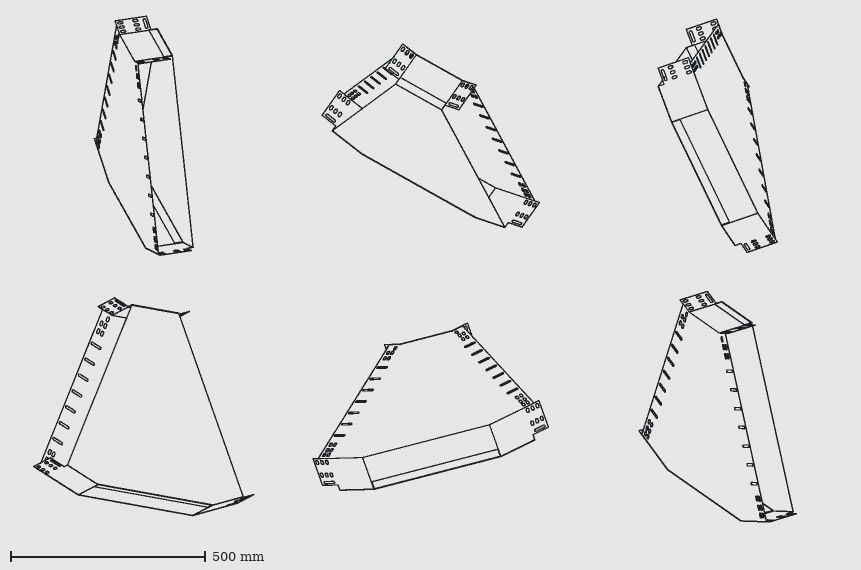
import cadquery as cq
import math

THICK = 1.0
DEPTH = 101.5
WIDTH = 608.0
HEIGHT = 519.5
SLOPE = 22.5

BOTTOM_FLAT = 341.5
TAB_LENGTH = 45.0
TAB_DEPTH = 84.5
PLATE_SETBACK = 14.5
LIP_DEPTH = 23.0
LIP_END_GAP = 2.0

SLOT_WIDTH = 6.5
LONG_SLOT = 30.5
PLATE_SHORT_SLOT = 14.0
TAB_SHORT_SLOT = 13.0

SIDE_SLOT_COUNT = 7
SIDE_SLOT_PITCH = 50.0
SIDE_SLOT_INSET = 20.5
OUTER_INSET = 11.5
INNER_INSET = 24.0
END_STEPS = (17.0, 37.5, 62.0)

TAB_HOLE_CENTRE = 22.5
TAB_HOLE_PITCH = 14.0
TAB_HOLE_ROWS = (12.0, 52.0)
TAB_LONG_SLOT_ROW = 76.0

CLEARANCE = 6.0

QUARTER_TURN = 90
ANGLE = math.radians(SLOPE)
COS, SIN, TAN = math.cos(ANGLE), math.sin(ANGLE), math.tan(ANGLE)
BEND_SHIFT = THICK * math.tan(ANGLE / 2)
WALL_DEPTH = DEPTH - THICK

LOWER_BEND = (BOTTOM_FLAT / 2, 0)
LOWER_TIP = (WIDTH / 2, (WIDTH - BOTTOM_FLAT) / 2 * TAN)
SIDE_LENGTH = (HEIGHT - LOWER_TIP[1]) / COS
SIDE_SLOT_START = (SIDE_LENGTH - (SIDE_SLOT_COUNT - 1) * SIDE_SLOT_PITCH) / 2


def side_point(inset, along):
    """Point on the right half, inset from the line of the tab tips and along it from the lower tip."""
    return (
        LOWER_TIP[0] - inset * COS - along * SIN,
        LOWER_TIP[1] - inset * SIN + along * COS,
    )


UPPER_TIP = side_point(0, SIDE_LENGTH)
UPPER_BEND = side_point(TAB_LENGTH, SIDE_LENGTH)


def mirrored(right_half):
    """Closed outline from the points of its right half."""
    return right_half + [(-x, z) for x, z in reversed(right_half)]


def sheet(outline, y_start, y_end):
    """Prism of an (x, z) outline between two positions along Y."""
    return cq.Workplane("XZ", origin=(0, y_start, 0)).polyline(outline).close().extrude(y_start - y_end)


def both_sides(shape):
    """Shape together with its mirror image across x = 0."""
    return shape.union(shape.mirror("YZ"))


def plate_slot(inset, along, length, turn):
    """Slot through the plate, placed from the right side edge of the plate."""
    x, z = side_point(PLATE_SETBACK + inset, along)
    return (
        cq.Workplane("XZ", origin=(x, 0, z))
        .transformed(rotate=(0, 0, turn))
        .slot2D(length, SLOT_WIDTH)
        .extrude(CLEARANCE, both=True)
    )


def plate_slots():
    """Long slots along both side edges, with short slots near their ends."""
    slots = cq.Workplane("XZ")
    for number in range(SIDE_SLOT_COUNT):
        along = SIDE_SLOT_START + number * SIDE_SLOT_PITCH
        slots = slots.add(plate_slot(SIDE_SLOT_INSET, along, LONG_SLOT, SLOPE))
    across = SLOPE + QUARTER_TURN
    for inset in (OUTER_INSET, INNER_INSET):
        for step in END_STEPS:
            slots = slots.add(plate_slot(inset, step, PLATE_SHORT_SLOT, across))
            if inset == INNER_INSET or step != END_STEPS[0]:
                slots = slots.add(plate_slot(inset, SIDE_LENGTH - step, PLATE_SHORT_SLOT, across))
    return both_sides(slots.combine())


def tab_slot(along, inset, y, length, turn):
    """Slot through the right tab at one end of the side, placed from the tab tip."""
    x, z = side_point(inset, along)
    wall = cq.Plane(origin=(x, y, z), xDir=(COS, 0, SIN), normal=(-SIN, 0, COS))
    return (
        cq.Workplane(wall)
        .transformed(rotate=(0, 0, turn))
        .slot2D(length, SLOT_WIDTH)
        .extrude(CLEARANCE, both=True)
    )


def tab_slots(along):
    """One long slot and two rows of short slots in both tabs at one end of the sides."""
    slots = cq.Workplane("XY").add(tab_slot(along, TAB_HOLE_CENTRE, TAB_LONG_SLOT_ROW, LONG_SLOT, 0))
    for column in (-1, 0, 1):
        inset = TAB_HOLE_CENTRE + column * TAB_HOLE_PITCH
        for y in TAB_HOLE_ROWS:
            slots = slots.add(tab_slot(along, inset, y, TAB_SHORT_SLOT, QUARTER_TURN))
    return both_sides(slots.combine())


def lower_wall():
    """Lower wall bent up at both ends, with its outer face at z = 0."""
    outer = [LOWER_BEND, LOWER_TIP]
    inner = [side_point(0, THICK), (LOWER_BEND[0] - BEND_SHIFT, THICK)]
    return sheet(mirrored(outer + inner), 0, WALL_DEPTH)


def upper_wall():
    """Upper wall bent up at both ends, with its outer face on top."""
    inner = [(UPPER_BEND[0] + BEND_SHIFT, UPPER_BEND[1] - THICK), side_point(0, SIDE_LENGTH - THICK)]
    outer = [UPPER_TIP, UPPER_BEND]
    return sheet(mirrored(inner + outer), 0, WALL_DEPTH)


def tab_reliefs():
    """Bands along both sides that lower the wall ends to the tab depth."""
    band = [
        side_point(-CLEARANCE, -CLEARANCE),
        side_point(-CLEARANCE, SIDE_LENGTH + CLEARANCE),
        side_point(TAB_LENGTH, SIDE_LENGTH + CLEARANCE),
        side_point(TAB_LENGTH, -CLEARANCE),
    ]
    return both_sides(sheet(band, TAB_DEPTH, DEPTH))


def make_tray():
    """Slotted front plate with the lower and upper walls and their tabs."""
    plate_outline = mirrored([
        LOWER_BEND,
        side_point(PLATE_SETBACK, 0),
        side_point(PLATE_SETBACK, SIDE_LENGTH),
        UPPER_BEND,
    ])
    tray = sheet(plate_outline, 0, THICK).cut(plate_slots())
    walls = lower_wall().union(upper_wall()).cut(tab_reliefs())
    walls = walls.cut(tab_slots(0)).cut(tab_slots(SIDE_LENGTH))
    return tray.union(walls)


def make_cover():
    """Plain back sheet with a lip inside the lower wall and a lip over the upper wall."""
    back_outline = mirrored([LOWER_BEND, side_point(TAB_LENGTH, 0), UPPER_BEND])
    back = sheet(back_outline, WALL_DEPTH, DEPTH)
    lip_start = DEPTH - LIP_DEPTH
    lower_half = LOWER_BEND[0] - LIP_END_GAP
    lower_lip = sheet(mirrored([(lower_half, THICK), (lower_half, 2 * THICK)]), lip_start, DEPTH)
    upper_half, upper_z = UPPER_BEND
    upper_outline = mirrored([(upper_half, upper_z), (upper_half - BEND_SHIFT, upper_z + THICK)])
    upper_lip = sheet(upper_outline, lip_start, DEPTH)
    return back.union(lower_lip).union(upper_lip)


tray = make_tray()
cover = make_cover()

result = cq.Compound.makeCompound([tray.val(), cover.val()])